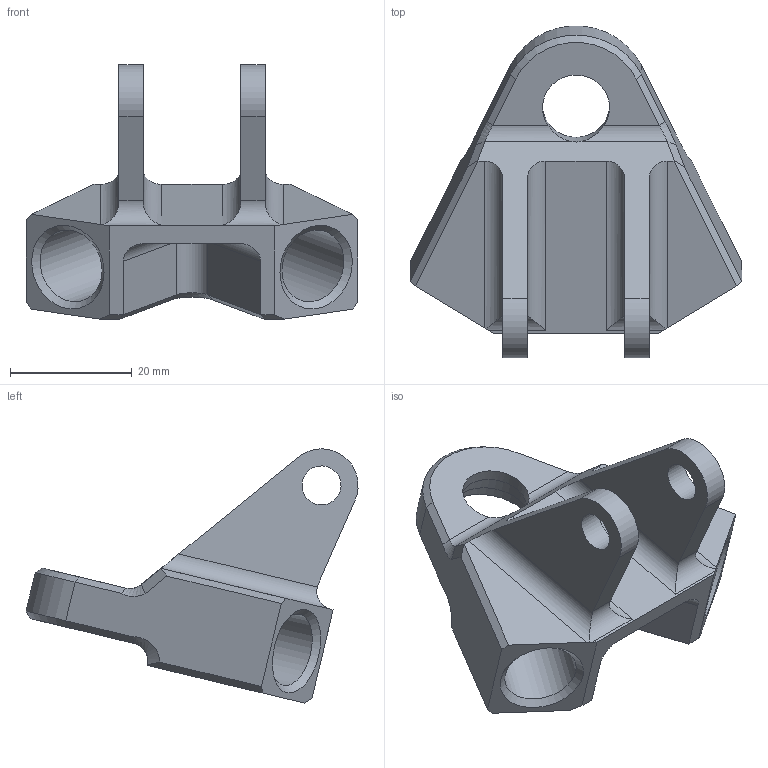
import cadquery as cq
import math

TILT = 13.5

BODY_BOTTOM = -16.0
PLATE_TOP = -4.5
PLATE_BOTTOM = -13.0

FRONT_HALF_WIDTH = 13.55
HALF_WIDTH = 27.175
LEG_ANGLE = 32.0
TIP_Y = 37.0
TIP_RADIUS = 12.0
EDGE_CHAMFER = 1.0
CHAMFER_ANGLE = 45.0

BODY_TOP_LENGTH = 29.05
BODY_BOTTOM_LENGTH = 27.5
STEP_RADIUS = PLATE_BOTTOM - BODY_BOTTOM
RAMP_RADIUS = 3.0

PLATE_BORES = [(5.5, 0.0), (6.75, PLATE_TOP - 2.0), (8.4, PLATE_TOP - 5.25)]

LEG_BORE_RADIUS = 6.0
LEG_BORE_DEPTH = 20.0
LEG_BORE_CHAMFER = 1.0

POCKET_HALF_WIDTH = 11.27
POCKET_ROOF = -3.0
POCKET_RADIUS = 3.0

EAR_OFFSET = 10.0
EAR_THICKNESS = 4.0
EAR_PIN_Y = 6.62
EAR_PIN_Z = 19.39
EAR_RADIUS = 6.0
EAR_HOLE_RADIUS = 3.2
EAR_FOOT_Y = 4.0
EAR_FILLET = 3.0
EAR_ROOT = -2.0

LEG_COS = math.cos(math.radians(LEG_ANGLE))
LEG_SIN = math.sin(math.radians(LEG_ANGLE))
LEG_TAN = LEG_SIN / LEG_COS
CORNER_Y = (HALF_WIDTH - FRONT_HALF_WIDTH) * LEG_TAN
MARGIN = 5.0
PART_REACH = TIP_Y + TIP_RADIUS + MARGIN
TOLERANCE = 1e-6
QUARTER_ARC_OFFSET = 1 - math.sqrt(0.5)


def tangent_point(start, center, radius, side):
    """Touch point on a circle of the line from start; side is +1 or -1."""
    du = center[0] - start[0]
    dv = center[1] - start[1]
    distance = math.hypot(du, dv)
    length = math.sqrt(distance**2 - radius**2)
    angle = math.atan2(dv, du) + side * math.asin(radius / distance)
    return (start[0] + length * math.cos(angle), start[1] + length * math.sin(angle))


EAR_PIN = (EAR_PIN_Y, EAR_PIN_Z)
RAMP_TOP = (BODY_TOP_LENGTH, 0.0)
EAR_BACK = tangent_point(RAMP_TOP, EAR_PIN, EAR_RADIUS, -1)
EAR_FRONT = tangent_point((EAR_FOOT_Y, 0.0), EAR_PIN, EAR_RADIUS, 1)
EAR_CREST = (EAR_PIN_Y, EAR_PIN_Z + EAR_RADIUS)
RAMP_SLOPE = (EAR_BACK[0] - RAMP_TOP[0]) / (EAR_BACK[1] - RAMP_TOP[1])


def ramp_y(z):
    """Position along the plate of the sloping back plane at height z."""
    return BODY_TOP_LENGTH + RAMP_SLOPE * z


def plan_prism(bottom, top):
    """Outline of the part seen square to the plate, as a prism."""
    right = tangent_point((HALF_WIDTH, CORNER_Y), (0.0, TIP_Y), TIP_RADIUS, -1)
    return (
        cq.Workplane("XY", origin=(0, 0, bottom))
        .moveTo(-FRONT_HALF_WIDTH, 0)
        .lineTo(FRONT_HALF_WIDTH, 0)
        .lineTo(HALF_WIDTH, CORNER_Y)
        .lineTo(*right)
        .threePointArc((0, TIP_Y + TIP_RADIUS), (-right[0], right[1]))
        .lineTo(-HALF_WIDTH, CORNER_Y)
        .close()
        .extrude(top - bottom)
    )


def body_block():
    """Thick body and thinner plate, cut to the plan outline."""
    ramp_foot = (ramp_y(PLATE_TOP), PLATE_TOP)
    arc_mid = (
        BODY_BOTTOM_LENGTH + STEP_RADIUS * QUARTER_ARC_OFFSET,
        PLATE_BOTTOM - STEP_RADIUS * QUARTER_ARC_OFFSET,
    )
    side = (
        cq.Workplane("YZ")
        .polyline([
            (BODY_BOTTOM_LENGTH, BODY_BOTTOM),
            (0, BODY_BOTTOM),
            (0, 0),
            RAMP_TOP,
            ramp_foot,
            (PART_REACH, PLATE_TOP),
            (PART_REACH, PLATE_BOTTOM),
            (BODY_BOTTOM_LENGTH + STEP_RADIUS, PLATE_BOTTOM),
        ])
        .threePointArc(arc_mid, (BODY_BOTTOM_LENGTH, BODY_BOTTOM))
        .close()
        .extrude(HALF_WIDTH + MARGIN, both=True)
        .edges(cq.NearestToPointSelector((0, *ramp_foot)))
        .fillet(RAMP_RADIUS)
    )
    return side.intersect(plan_prism(BODY_BOTTOM, 0))


def is_rim_wall(face):
    """True for the two slanted sides and the round tip between them."""
    normal = face.normalAt()
    return abs(normal.z) < TOLERANCE and face.Center().y > CORNER_Y


def chamfer_rim(block):
    """Chamfer the upper and lower rims, at 45 degrees to the faces inside them."""
    faces = block.faces().vals()
    walls = [face for face in faces if is_rim_wall(face)]
    wall_edges = [edge for wall in walls for edge in wall.Edges()]
    cutter = cq.occ_impl.shapes.BRepFilletAPI_MakeChamfer(block.val().wrapped)
    for face in faces:
        if is_rim_wall(face):
            continue
        for edge in face.Edges():
            upright = abs(edge.tangentAt(0).z) > 1 - TOLERANCE
            on_rim = any(edge.isSame(other) for other in wall_edges)
            in_chain = cutter.Contour(edge.wrapped) > 0
            if on_rim and not upright and not in_chain:
                cutter.AddDA(EDGE_CHAMFER, math.radians(CHAMFER_ANGLE), edge.wrapped, face.wrapped)
    return cq.Workplane(cq.Shape.cast(cutter.Shape()))


def front_pocket():
    """Triangular pocket between the legs, open to the front and below."""
    base_y = -MARGIN
    base_half = POCKET_HALF_WIDTH - base_y * LEG_TAN
    apex = (0, POCKET_HALF_WIDTH / LEG_TAN)
    bottom = BODY_BOTTOM - MARGIN
    return (
        cq.Workplane("XY", origin=(0, 0, bottom))
        .polyline([(-base_half, base_y), (base_half, base_y), apex])
        .close()
        .extrude(POCKET_ROOF - bottom)
        .edges("(|Z and >Y) or (>Z and (not <Y))")
        .fillet(POCKET_RADIUS)
    )


def cut_front_pocket(block):
    """Cut the pocket and chamfer its lower edges and the lower front edges of the legs."""
    block = block.cut(front_pocket())
    zone = cq.selectors.BoxSelector(
        (-FRONT_HALF_WIDTH, -MARGIN, BODY_BOTTOM - MARGIN),
        (FRONT_HALF_WIDTH, BODY_BOTTOM_LENGTH - MARGIN, BODY_BOTTOM + EDGE_CHAMFER / 2),
    )
    return block.edges(zone).chamfer(EDGE_CHAMFER)


def leg_bore(side):
    """Blind bore square to the slanted front face of one leg, with its mouth chamfer."""
    mouth = cq.Vector(
        side * (FRONT_HALF_WIDTH + HALF_WIDTH) / 2,
        CORNER_Y / 2,
        BODY_BOTTOM / 2,
    )
    inward = cq.Vector(-side * LEG_SIN, LEG_COS, 0)
    bore = cq.Solid.makeCylinder(LEG_BORE_RADIUS, LEG_BORE_DEPTH, mouth, inward)
    mouth_radius = LEG_BORE_RADIUS + LEG_BORE_CHAMFER
    cone = cq.Solid.makeCone(mouth_radius, LEG_BORE_RADIUS, LEG_BORE_CHAMFER, mouth, inward)
    return cq.Workplane(bore.fuse(cone))


def ear_side_prism():
    """Ear outline seen from the side, with the fillet at its front foot."""
    return (
        cq.Workplane("YZ")
        .moveTo(ramp_y(EAR_ROOT), EAR_ROOT)
        .lineTo(*EAR_BACK)
        .threePointArc(EAR_CREST, EAR_FRONT)
        .lineTo(EAR_FOOT_Y, 0)
        .lineTo(-MARGIN, 0)
        .lineTo(-MARGIN, EAR_ROOT)
        .close()
        .extrude(HALF_WIDTH, both=True)
        .edges(cq.NearestToPointSelector((0, EAR_FOOT_Y, 0)))
        .fillet(EAR_FILLET)
    )


def ear_front_prism(center_x):
    """Ear seen from the front, widened by a fillet on each side of its foot."""
    inner = EAR_THICKNESS / 2
    outer = inner + EAR_FILLET
    top = EAR_PIN_Z + EAR_RADIUS + MARGIN
    diagonal = EAR_FILLET * QUARTER_ARC_OFFSET
    return (
        cq.Workplane("XZ", origin=(center_x, 0, 0))
        .moveTo(-outer, EAR_ROOT)
        .lineTo(-outer, 0)
        .threePointArc((-inner - diagonal, diagonal), (-inner, EAR_FILLET))
        .lineTo(-inner, top)
        .lineTo(inner, top)
        .lineTo(inner, EAR_FILLET)
        .threePointArc((inner + diagonal, diagonal), (outer, 0))
        .lineTo(outer, EAR_ROOT)
        .close()
        .extrude(PART_REACH, both=True)
    )


def ears():
    """Both ears, trimmed to the plan outline and drilled for the pin."""
    side = ear_side_prism()
    outline = side.intersect(ear_front_prism(EAR_OFFSET).union(ear_front_prism(-EAR_OFFSET)))
    foot = outline.intersect(plan_prism(EAR_ROOT, EAR_FILLET))
    above = outline.cut(
        cq.Workplane("XY", origin=(0, 0, EAR_ROOT))
        .rect(2 * PART_REACH, 2 * PART_REACH)
        .extrude(EAR_FILLET - EAR_ROOT)
    )
    pin_hole = (
        cq.Workplane("YZ")
        .center(*EAR_PIN)
        .circle(EAR_HOLE_RADIUS)
        .extrude(HALF_WIDTH, both=True)
    )
    return foot.union(above).cut(pin_hole)


def plate_bore():
    """Bore through the plate that widens downwards in steps and also clips the step below it."""
    bore = cq.Workplane("XY")
    for radius, top in PLATE_BORES:
        step = cq.Workplane("XY", origin=(0, TIP_Y, BODY_BOTTOM)).circle(radius).extrude(top - BODY_BOTTOM)
        bore = bore.union(step)
    return bore


part = chamfer_rim(body_block())
part = cut_front_pocket(part)
part = part.union(ears())
part = part.cut(plate_bore())
for leg_side in (-1, 1):
    part = part.cut(leg_bore(leg_side))

result = part.rotate((0, 0, 0), (1, 0, 0), TILT)